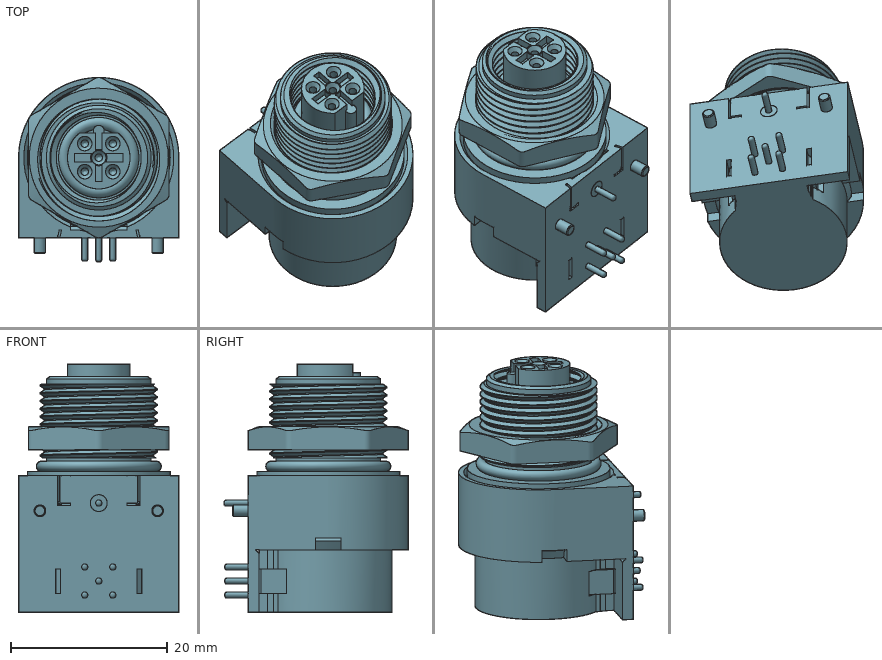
import cadquery as cq
import math


total_height = 31.75
half_width = 10.25
block_bottom = 8.0
block_top = 17.5
mount_face = -half_width
plate_back = -8.85
corner_relief = 0.45

lower_radius = 8.15
neck_ends = [-7.02, -7.75, plate_back]
neck_start_half_width = 5.02
neck_step = 0.15

latch_low = 2.38
latch_high = 5.55
latch_shoulder = -5.33
latch_face = 5.45
latch_nose_start = -8.65
slot_inner = 4.9
slot_outer = 5.52

window_half_length = 1.62
window_top = 9.52
snap_peak_height = 9.1
snap_peak_radius = 8.73

flap_half_width = 5.27
flap_bottom = 13.7
flap_thickness = 1.0
slit_width = 0.3
slit_lean = 0.22
hinge_half_width = 3.6
flap_back = mount_face + flap_thickness
pocket_back = -8.1
pocket_depth = 0.48

flange_radius = 9.15
flange_top = 18.03
flange_groove_radius = 9.6
flange_groove_depth = 0.65
collar_radius = 6.7
collar_top = 30.15
collar_chamfer_height = 0.32
collar_chamfer_width = 0.45
seal_ring_wire = 0.67
ring_sink = 0.03

thread_bottom = 19.72
thread_top = 29.18
thread_turns = 9.5
pitch = (thread_top - thread_bottom) / thread_turns
thread_crest_radius = 7.5
thread_root_radius = 7.0
thread_crest_width = 0.13
thread_base_width = 0.85
thread_phase_height = 28.5
inner_thread_phase_height = 28.67
root_overlap = 0.1
spare_turns = 1
rod_overrun_turns = 3

cavity_radius = 5.43
cavity_floor = 24.13
inner_thread_radius = 6.13
inner_ring_radius = 4.38
inner_ring_wire = 0.75
insert_radius = 4.0
insert_flat = 3.15
key_half_width = 0.7
key_tip = 4.13
key_top = 30.65
cross_slot_width_x = 0.9
cross_slot_width_y = 1.1
cross_slot_half_length = 3.08
socket_spacing = 3.6
socket_offset = socket_spacing / 2
socket_mouth_radius = 0.92
socket_collar_radius = 1.05
socket_radius = 0.48
socket_lead_in = 0.55
socket_depth = 2.55

pin_diameter = 0.8
pin_radius = pin_diameter / 2
pin_tip_round = 0.3
pin_length = 3.0
pin_centre_height = 4.0
shield_pin_length = 3.08
shield_pin_height = 13.97
shield_boss_radius = 1.08
shield_boss_height = 0.03
peg_diameter = 1.5
peg_radius = peg_diameter / 2
peg_chamfer = 0.13
peg_length = 1.97
peg_spacing = 15.05
peg_height = 13.0

nut_bottom = 20.75
nut_top = 23.75
nut_across_flats = 18.0
nut_corner_round = 0.95
nut_corner_radius = 10.3
nut_chamfer_radius = 8.9
nut_chamfer_drop = 0.55
nut_clearance = 0.03
nut_thread_radius = 8.1
nut_thread_phase_height = 24.0


def cylinder(radius, low, high):
    return cq.Workplane("XY").workplane(offset=low).circle(radius).extrude(high - low)


def box(x0, x1, y0, y1, z0, z1):
    return cq.Workplane("XY").box(x1 - x0, y1 - y0, z1 - z0, centered=False).translate((x0, y0, z0))


def turned(points):
    """Solid of revolution about Z from a closed outline of (radius, height) points."""
    return cq.Workplane("XZ").polyline(points).close().revolve(360, (0, 0), (0, 1))


def ring(centre_radius, wire_radius, height):
    return cq.Workplane("XZ").center(centre_radius, height).circle(wire_radius).revolve(
        360, (-centre_radius, 0), (-centre_radius, 1))


def yz_prism(points, x0, x1):
    """Prism along X from a closed outline of (y, z) points."""
    return cq.Workplane("YZ").workplane(offset=x0).polyline(points).close().extrude(x1 - x0)


def xy_prism(points, z0, z1):
    return cq.Workplane("XY").workplane(offset=z0).polyline(points).close().extrude(z1 - z0)


def both_sides(solid):
    return solid.union(solid.mirror("YZ"))


def threaded_rod(root_radius, crest_radius, low, high, phase_height):
    """Rod from low to high with a right-hand trapezoidal thread, a crest at phase_height on its +X side."""
    start = phase_height - pitch * (math.ceil((phase_height - low) / pitch) + spare_turns)
    turns = math.ceil((high - start) / pitch) + spare_turns
    base = root_radius - root_overlap
    flank_slope = (thread_base_width - thread_crest_width) / 2 / (crest_radius - root_radius)
    base_half = thread_crest_width / 2 + flank_slope * (crest_radius - base)
    crest_half = thread_crest_width / 2
    path = cq.Wire.makeHelix(pitch, turns * pitch, root_radius).translate(cq.Vector(0, 0, start))
    profile = cq.Workplane("XZ").polyline([
        (base, start - base_half),
        (crest_radius, start - crest_half),
        (crest_radius, start + crest_half),
        (base, start + base_half),
    ]).close()
    ridge = profile.sweep(cq.Workplane(obj=path), isFrenet=True)
    overrun = rod_overrun_turns * pitch
    rod = cylinder(root_radius, low - overrun, high + overrun).union(ridge)
    return rod.intersect(cylinder(crest_radius + pitch, low, high))


def make_block():
    """Block with a round back, standing on a mounting plate that reaches down to the base."""
    block = box(-half_width, half_width, mount_face, 0, block_bottom, block_top)
    block = block.union(cylinder(half_width, block_bottom, block_top))
    plate = box(-half_width, half_width, mount_face, plate_back, 0, block_bottom)
    return block.union(plate)


def make_lower_body():
    """Round body under the block with a neck that narrows in steps towards the plate."""
    body = cylinder(lower_radius, 0, block_bottom)
    for index, end in enumerate(neck_ends):
        half = neck_start_half_width - index * neck_step
        body = body.union(box(-half, half, end, 0, 0, block_bottom))
    return body


def add_latches(housing):
    """Flat-sided latch arms whose slanted noses reach into slots through the plate."""
    slot = box(-slot_outer, -slot_inner, mount_face, plate_back, latch_low, latch_high)
    recess = box(-lower_radius, -slot_inner, plate_back, latch_shoulder, latch_low, latch_high)
    nose_run = latch_face - slot_inner
    arm = xy_prism([
        (-latch_face, latch_shoulder),
        (-latch_face, latch_nose_start),
        (-slot_inner, latch_nose_start - nose_run),
        (-slot_inner, latch_shoulder),
    ], latch_low, latch_high)
    return housing.cut(both_sides(slot.union(recess))).union(both_sides(arm))


def cut_snap_windows(housing):
    """Windows in the block sides, showing the snap ridge of the lower body inside."""
    window = box(-half_width, half_width, -window_half_length, window_half_length, block_bottom, window_top)
    core = turned([
        (0, block_bottom),
        (lower_radius, block_bottom),
        (snap_peak_radius, snap_peak_height),
        (lower_radius, window_top),
        (0, window_top),
    ])
    return housing.cut(window.cut(core))


def cut_flap(housing):
    """Slanted L-shaped slits and the pocket behind the spring flap."""
    upright = xy_prism([
        (-flap_half_width, mount_face),
        (-flap_half_width + slit_width, mount_face),
        (-flap_half_width + slit_width + slit_lean, flap_back),
        (-flap_half_width + slit_lean, flap_back),
    ], flap_bottom, block_top)
    foot = yz_prism([
        (mount_face, flap_bottom),
        (mount_face, flap_bottom + slit_width),
        (flap_back, flap_bottom + slit_width + slit_lean),
        (flap_back, flap_bottom + slit_lean),
    ], -flap_half_width, -hinge_half_width)
    pocket = yz_prism([
        (flap_back, block_top),
        (flap_back + pocket_depth, block_top - pocket_depth),
        (pocket_back, block_top - pocket_depth),
        (pocket_back, block_top),
    ], -hinge_half_width, hinge_half_width)
    return housing.cut(both_sides(upright)).cut(both_sides(foot)).cut(pocket)


def cut_flange_groove(housing):
    """Countersink in the block top that seats the flange and leaves a conical groove around it."""
    groove = turned([
        (0, block_top),
        (flange_groove_radius, block_top),
        (flange_radius, block_top - flange_groove_depth),
        (0, block_top - flange_groove_depth),
    ])
    return housing.cut(groove)


def cut_corner_relief(housing):
    relief = yz_prism([
        (plate_back, block_bottom),
        (plate_back - corner_relief, block_bottom),
        (plate_back, block_bottom - corner_relief),
    ], -half_width, half_width)
    return housing.cut(relief)


def make_collar():
    collar = cylinder(flange_radius, block_top - flange_groove_depth, flange_top)
    collar = collar.union(turned([
        (0, block_top),
        (collar_radius, block_top),
        (collar_radius, collar_top - collar_chamfer_height),
        (collar_radius - collar_chamfer_width, collar_top),
        (0, collar_top),
    ]))
    collar = collar.union(ring(
        collar_radius + seal_ring_wire - ring_sink, seal_ring_wire, flange_top + seal_ring_wire - ring_sink))
    thread = threaded_rod(
        thread_root_radius, thread_crest_radius, thread_bottom, thread_top, thread_phase_height)
    return collar.union(thread)


def cut_cavity(collar):
    """Cavity with an internal thread that runs out through the collar top."""
    thread = threaded_rod(
        cavity_radius, inner_thread_radius, cavity_floor, collar_top, inner_thread_phase_height)
    return collar.cut(thread)


def make_socket(x, y):
    return turned([
        (0, total_height),
        (socket_mouth_radius, total_height),
        (socket_radius, total_height - socket_lead_in),
        (socket_radius, total_height - socket_depth),
        (0, total_height - socket_depth - socket_radius),
    ]).translate((x, y, 0))


def five_positions(offset):
    """Four corners of a square and its centre."""
    corners = [(sx * offset, sy * offset) for sx in (-1, 1) for sy in (-1, 1)]
    return corners + [(0, 0)]


def make_insert():
    """Socket insert with a flat and a key on the +Y side, a cross slot and five sockets."""
    insert = cylinder(insert_radius, cavity_floor, total_height)
    insert = insert.cut(box(
        -insert_radius, insert_radius, insert_flat, insert_radius, cavity_floor, total_height))
    key_centre = key_tip - key_half_width
    key = box(-key_half_width, key_half_width, 0, key_centre, cavity_floor, key_top)
    key = key.union(cylinder(key_half_width, cavity_floor, key_top).translate((0, key_centre, 0)))
    insert = insert.union(key)
    half_x = cross_slot_width_x / 2
    half_y = cross_slot_width_y / 2
    reach = cross_slot_half_length
    cross = box(-reach, reach, -half_y, half_y, key_top, total_height)
    cross = cross.union(box(-half_x, half_x, -reach, insert_radius, key_top, total_height))
    insert = insert.cut(cross.cut(cylinder(socket_collar_radius, key_top, total_height)))
    for x, y in five_positions(socket_offset):
        insert = insert.cut(make_socket(x, y))
    return insert


def mount_rod(radius, length, x, z):
    """Rod standing out of the mounting face."""
    return cq.Workplane("XZ", origin=(x, mount_face, z)).circle(radius).extrude(length)


def add_pins(housing):
    for x, z in five_positions(socket_offset):
        pin = mount_rod(pin_radius, pin_length, x, pin_centre_height + z)
        housing = housing.union(pin.faces("<Y").edges().fillet(pin_tip_round))
    shield_pin = mount_rod(pin_radius, shield_pin_length, 0, shield_pin_height)
    housing = housing.union(mount_rod(shield_boss_radius, shield_boss_height, 0, shield_pin_height))
    housing = housing.union(shield_pin.faces("<Y").edges().fillet(pin_tip_round))
    for side in (-1, 1):
        peg = mount_rod(peg_radius, peg_length, side * peg_spacing / 2, peg_height)
        housing = housing.union(peg.faces("<Y").edges().chamfer(peg_chamfer))
    return housing


def make_housing():
    housing = make_block().union(make_lower_body())
    housing = add_latches(housing)
    housing = cut_snap_windows(housing)
    housing = cut_flap(housing)
    housing = cut_flange_groove(housing)
    housing = cut_corner_relief(housing)
    housing = add_pins(housing)
    housing = housing.union(cut_cavity(make_collar()))
    housing = housing.union(make_insert())
    return housing.union(ring(inner_ring_radius, inner_ring_wire, cavity_floor + inner_ring_wire - ring_sink))


def make_nut():
    across_corners = nut_across_flats / math.cos(math.pi / 6)
    nut = cq.Workplane("XY").workplane(offset=nut_bottom).polygon(6, across_corners)
    nut = nut.extrude(nut_top - nut_bottom).rotate((0, 0, 0), (0, 0, 1), 30)
    nut = nut.edges("|Z").fillet(nut_corner_round)
    envelope = turned([
        (0, nut_bottom),
        (nut_corner_radius, nut_bottom),
        (nut_corner_radius, nut_top - nut_chamfer_drop),
        (nut_chamfer_radius, nut_top),
        (0, nut_top),
    ])
    bore_radius = thread_crest_radius + nut_clearance
    bore = threaded_rod(bore_radius, nut_thread_radius, nut_bottom, nut_top, nut_thread_phase_height)
    return nut.intersect(envelope).cut(bore)


housing = make_housing()
nut = make_nut()
result = cq.Compound.makeCompound([housing.val(), nut.val()])